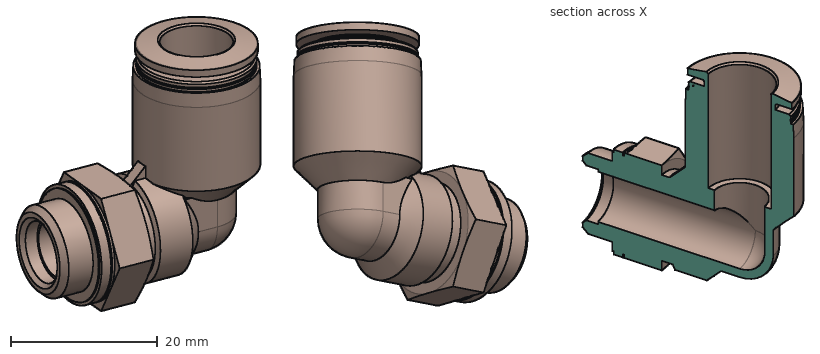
import cadquery as cq
import math


NUT_FLATS = 17.0
NUT_CORNERS = NUT_FLATS / math.cos(math.pi / 6)
NUT_BACK = 12.45
NUT_FRONT = 18.15
NUT_CHAMFER_RISE = 1.38
NUT_CHAMFER_LENGTH = 0.35

SOCKET_R = 17.5 / 2
SOCKET_TOP_R = 17.3 / 2
TOP_Z = 34.5 - NUT_FLATS / 2
SOCKET_BOTTOM_Z = 7.3
SOCKET_TAPER_Z = 20.05
SOCKET_TOP_Z = 22.1

COLLAR_R = 16.5 / 2
COLLAR_TOP_Z = 23.53
COLLAR_CHAMFER = 0.28
COLLAR_GROOVE_Z = 22.63
COLLAR_GROOVE_SIZE = 0.15
RING_NECK_R = 11.5 / 2
RING_NECK_FLARE = 0.17
RING_R = 16.8 / 2
RING_BOTTOM_Z = 24.43
RING_EDGE_Z = 25.45
RING_CONE_Z = 25.53
RING_CONE_R = 8.25

ELBOW_R = 5.45
ELBOW_CHEEK = 5.35

ARM_R = 7.73
ARM_START = 5.25
ARM_END = 10.75
ARM_TAPER = 0.38
NECK_R = 13.95 / 2

SEAL_R = 17.0 / 2
SEAL_STEP_R = 16.0 / 2
SEAL_GROOVE_START = 18.53
SEAL_GROOVE_END = 18.75
SEAL_END = 20.2
SEAL_STEP_END = 20.42
THREAD_R = 13.15 / 2
THREAD_TIP_R = 11.5 / 2
THREAD_CHAMFER_START = 24.3
THREAD_END = 33.95 - SOCKET_R

BORE_R = 8.0 / 2
TUBE_BORE_R = 10.0 / 2
TUBE_STOP_Z = SOCKET_BOTTOM_Z
TUBE_LEAD_IN = 0.28
THREAD_BORE_R = 8.75 / 2
THREAD_MOUTH_R = 10.0 / 2
THREAD_BORE_START = 22.7
THREAD_MOUTH_DEPTH = 0.62

RIB_WIDTH = 1.93
RIB_TOP_Z = 9.45
RIB_ROOT = 5.18


def turned(outline):
    """Revolve an outline of (radius, height) points about the Z axis."""
    return cq.Workplane("XZ").polyline(outline).close().revolve(360, (0, 0, 0), (0, 1, 0))


def along_thread(solid):
    """Lay a solid built along +Z down so that it points along -Y."""
    return solid.rotate((0, 0, 0), (1, 0, 0), 90)


def tube_socket():
    cone_length = SOCKET_R - ELBOW_R
    return turned([
        (0, 0),
        (ELBOW_R, 0),
        (ELBOW_R, SOCKET_BOTTOM_Z - cone_length),
        (SOCKET_R, SOCKET_BOTTOM_Z),
        (SOCKET_R, SOCKET_TAPER_Z),
        (SOCKET_TOP_R, SOCKET_TOP_Z),
        (COLLAR_R, SOCKET_TOP_Z),
        (COLLAR_R, COLLAR_GROOVE_Z - COLLAR_GROOVE_SIZE),
        (COLLAR_R - COLLAR_GROOVE_SIZE, COLLAR_GROOVE_Z),
        (COLLAR_R, COLLAR_GROOVE_Z + COLLAR_GROOVE_SIZE),
        (COLLAR_R, COLLAR_TOP_Z - COLLAR_CHAMFER),
        (COLLAR_R - COLLAR_CHAMFER, COLLAR_TOP_Z),
        (RING_NECK_R, COLLAR_TOP_Z),
        (RING_NECK_R, RING_BOTTOM_Z - RING_NECK_FLARE),
        (RING_NECK_R + RING_NECK_FLARE, RING_BOTTOM_Z),
        (RING_R, RING_BOTTOM_Z),
        (RING_R, RING_EDGE_Z),
        (RING_CONE_R, RING_CONE_Z),
        (TUBE_BORE_R + TUBE_LEAD_IN, TOP_Z),
        (0, TOP_Z),
    ])


def threaded_arm():
    cone_length = ARM_R - ELBOW_R
    return along_thread(turned([
        (0, 0),
        (ELBOW_R, 0),
        (ELBOW_R, ARM_START - cone_length),
        (ARM_R, ARM_START),
        (ARM_R, ARM_END - ARM_TAPER),
        (NECK_R, ARM_END),
        (NECK_R, NUT_FRONT),
        (SEAL_R, NUT_FRONT),
        (SEAL_R, SEAL_GROOVE_START),
        (SEAL_STEP_R, SEAL_GROOVE_START),
        (SEAL_STEP_R, SEAL_GROOVE_END),
        (SEAL_R, SEAL_GROOVE_END),
        (SEAL_R, SEAL_END),
        (SEAL_STEP_R, SEAL_END),
        (SEAL_STEP_R, SEAL_STEP_END),
        (THREAD_R, SEAL_STEP_END),
        (THREAD_R, THREAD_CHAMFER_START),
        (THREAD_TIP_R, THREAD_END),
        (0, THREAD_END),
    ]))


def nut():
    hexagon = (
        cq.Workplane("XY").workplane(offset=NUT_BACK)
        .polygon(6, NUT_CORNERS)
        .extrude(NUT_FRONT - NUT_BACK)
    )
    corner_r = NUT_FLATS / 2 + NUT_CHAMFER_RISE
    corner_envelope = turned([
        (0, NUT_BACK),
        (NUT_FLATS / 2, NUT_BACK),
        (corner_r, NUT_BACK + NUT_CHAMFER_LENGTH),
        (corner_r, NUT_FRONT),
        (0, NUT_FRONT),
    ])
    return along_thread(hexagon.intersect(corner_envelope))


def elbow():
    """Round outer corner, with flat cheeks filling the inner corner."""
    cheeks = cq.Workplane("XY").box(
        2 * ELBOW_R, ARM_START, ELBOW_CHEEK, centered=(True, False, False)
    ).translate((0, -ARM_START, 0))
    return cq.Workplane("XY").sphere(ELBOW_R).union(cheeks)


def corner_rib():
    """45 degree rib from the socket wall down to the neck behind the nut."""
    rib_end = SOCKET_R + RIB_TOP_Z - NECK_R
    return (
        cq.Workplane("YZ")
        .polyline([
            (-SOCKET_R, RIB_TOP_Z),
            (-rib_end, NECK_R),
            (-rib_end, RIB_ROOT),
            (-RIB_ROOT, RIB_ROOT),
            (-RIB_ROOT, RIB_TOP_Z),
        ])
        .close()
        .extrude(RIB_WIDTH / 2, both=True)
    )


def passage():
    tube_side = turned([
        (0, 0),
        (BORE_R, 0),
        (BORE_R, TUBE_STOP_Z),
        (TUBE_BORE_R, TUBE_STOP_Z),
        (TUBE_BORE_R, TOP_Z - TUBE_LEAD_IN),
        (TUBE_BORE_R + TUBE_LEAD_IN, TOP_Z),
        (0, TOP_Z),
    ])
    thread_side = along_thread(turned([
        (0, 0),
        (BORE_R, 0),
        (BORE_R, THREAD_BORE_START),
        (THREAD_BORE_R, THREAD_BORE_START),
        (THREAD_BORE_R, THREAD_END - THREAD_MOUTH_DEPTH),
        (THREAD_MOUTH_R, THREAD_END),
        (0, THREAD_END),
    ]))
    return tube_side.union(thread_side).union(cq.Workplane("XY").sphere(BORE_R))


result = (
    tube_socket()
    .union(threaded_arm())
    .union(elbow())
    .union(nut())
    .union(corner_rib())
    .cut(passage())
)